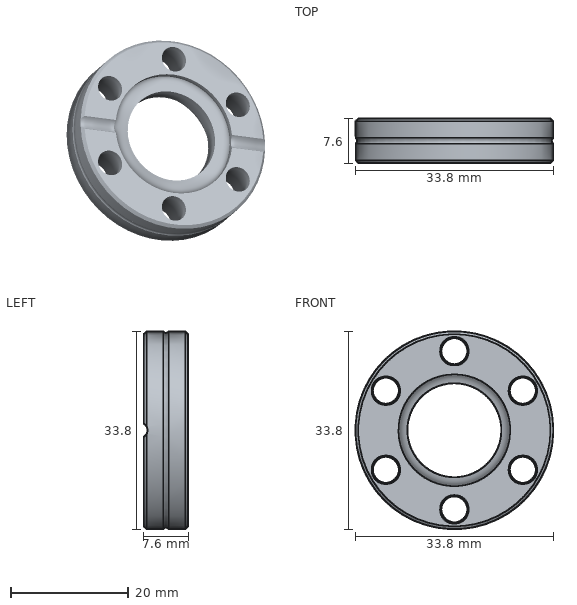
import cadquery as cq
import math

flange_diameter = 33.8
flange_thickness = 7.6
rim_chamfer = 0.5
flange_radius = flange_diameter / 2
front_y = -flange_thickness / 2
back_y = flange_thickness / 2

bore_diameter = 16.0
counterbore_diameter = 19.1
counterbore_depth = 3.2

gasket_recess_diameter = 21.4
gasket_recess_depth = 1.2

bolt_count = 6
first_bolt_angle = 90
bolt_circle_diameter = 27.0
bolt_hole_diameter = 4.4
bolt_hole_chamfer = 0.25

rim_groove_width = 0.95
rim_groove_depth = 0.25

back_groove_width = 2.3
back_groove_depth = 0.65


def arc_radius(chord, depth):
    """Radius of the circular arc that spans a chord with the given depth."""
    return ((chord / 2) ** 2 + depth**2) / (2 * depth)


def cylinder_along_y(diameter, start_y, length, x=0.0, z=0.0):
    """Solid cylinder that runs from start_y toward +Y."""
    return cq.Workplane(cq.Solid.makeCylinder(
        diameter / 2, length, cq.Vector(x, start_y, z), cq.Vector(0, 1, 0)))


def flange_body():
    """Chamfered disc with the rounded rim groove, revolved about Y."""
    face_radius = flange_radius - rim_chamfer
    profile = (
        cq.Workplane("XY")
        .moveTo(0, front_y)
        .lineTo(face_radius, front_y)
        .lineTo(flange_radius, front_y + rim_chamfer)
        .lineTo(flange_radius, -rim_groove_width / 2)
        .threePointArc(
            (flange_radius - rim_groove_depth, 0),
            (flange_radius, rim_groove_width / 2),
        )
        .lineTo(flange_radius, back_y - rim_chamfer)
        .lineTo(face_radius, back_y)
        .lineTo(0, back_y)
        .close()
    )
    return profile.revolve(360, (0, 0, 0), (0, 1, 0))


def central_opening():
    """Bore, front counterbore and back gasket recess as one cutting body."""
    bore = cylinder_along_y(bore_diameter, front_y, flange_thickness)
    counterbore = cylinder_along_y(counterbore_diameter, front_y, counterbore_depth)
    gasket_recess = cylinder_along_y(
        gasket_recess_diameter, back_y - gasket_recess_depth, gasket_recess_depth)
    return bore.union(counterbore).union(gasket_recess)


def bolt_hole(x, z):
    """Through hole with a small countersink at the front face."""
    hole = cylinder_along_y(bolt_hole_diameter, front_y, flange_thickness, x, z)
    hole_radius = bolt_hole_diameter / 2
    countersink = cq.Solid.makeCone(
        hole_radius + bolt_hole_chamfer,
        hole_radius,
        bolt_hole_chamfer,
        cq.Vector(x, front_y, z),
        cq.Vector(0, 1, 0),
    )
    return hole.union(cq.Workplane(countersink))


def back_groove():
    """Round bar along X whose lower part sinks into the back face."""
    radius = arc_radius(back_groove_width, back_groove_depth)
    axis_y = back_y - back_groove_depth + radius
    return cq.Workplane(cq.Solid.makeCylinder(
        radius, flange_diameter, cq.Vector(-flange_radius, axis_y, 0), cq.Vector(1, 0, 0)))


def bolt_hole_circle():
    """All bolt holes, evenly spaced on the bolt circle."""
    holes = cq.Workplane()
    for index in range(bolt_count):
        angle = math.radians(first_bolt_angle + index * 360 / bolt_count)
        x = bolt_circle_diameter / 2 * math.cos(angle)
        z = bolt_circle_diameter / 2 * math.sin(angle)
        holes = holes.add(bolt_hole(x, z))
    return holes.combine()


result = flange_body().cut(central_opening()).cut(back_groove()).cut(bolt_hole_circle())